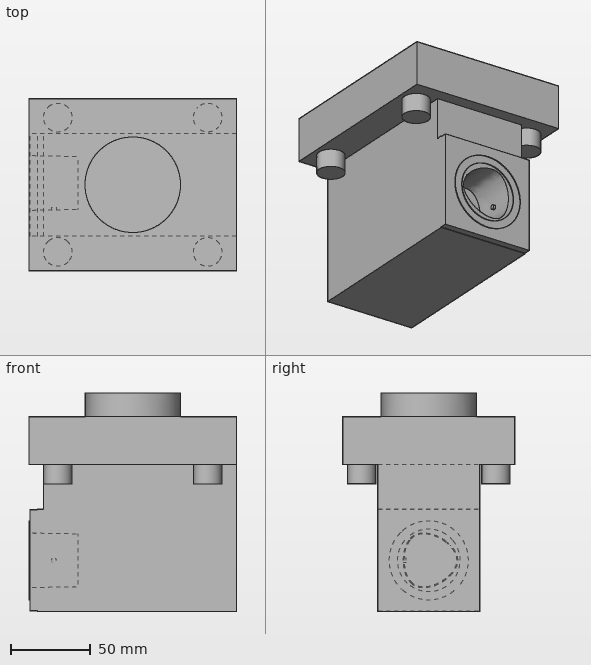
import cadquery as cq
import math

plate_length = 130.0
plate_width = 108.0
plate_height = 30.0
boss_diameter = 59.9
boss_height = 15.0
total_height = 137

body_width = 64.0
body_height = total_height - boss_height - plate_height
body_setback = 9.0
foot_diameter = 18.0
foot_height = 12.0
foot_inset_x = 18.1
foot_inset_y = 11.9

port_block_height = 64.3
nose_length = 4.7
nose_relief = 0.4
ring_outer_diameter = 49.6
ring_inner_diameter = 39.2
ring_height = 0.5

socket_mean_radius = 17.1
socket_lobe = 1.1
socket_depth = 30.1
socket_taper = 0.5
socket_points = 36

pin_diameter = 3.0
pin_tip_y = -14.2
pin_embedded_y = -17.8
pin_depth = socket_depth / 2

left = -plate_length / 2
right = plate_length / 2
face_x = left + ring_height
port_z = port_block_height / 2


def make_plate_and_boss():
    plate = cq.Workplane("XY").workplane(offset=body_height).rect(plate_length, plate_width)
    plate = plate.extrude(plate_height)
    return plate.faces(">Z").workplane().circle(boss_diameter / 2).extrude(boss_height)


def make_body():
    """Side profile of the stepped body, extruded across its width."""
    nose_x = face_x + nose_length
    nose_top = port_block_height - nose_relief
    profile = [
        (right, 0),
        (right, body_height),
        (left + body_setback, body_height),
        (left + body_setback, port_block_height),
        (nose_x, port_block_height),
        (nose_x, nose_top),
        (face_x, nose_top),
        (face_x, nose_relief),
        (nose_x, nose_relief),
        (nose_x, 0),
    ]
    return cq.Workplane("XZ").polyline(profile).close().extrude(body_width / 2, both=True)


def make_feet():
    spacing_x = plate_length - 2 * foot_inset_x
    spacing_y = plate_width - 2 * foot_inset_y
    feet = cq.Workplane("XY").workplane(offset=body_height - foot_height)
    return feet.rarray(spacing_x, spacing_y, 2, 2).circle(foot_diameter / 2).extrude(foot_height)


def make_port_ring():
    """Thin raised sealing ring around the port."""
    ring = cq.Workplane("YZ", origin=(left, 0, port_z))
    return ring.circle(ring_outer_diameter / 2).circle(ring_inner_diameter / 2).extrude(ring_height)


def lobed_outline(mean_radius):
    """Constant-width three-lobed curve with one lobe pointing to +Y."""
    points = []
    for i in range(socket_points):
        angle = 2 * math.pi * i / socket_points
        reach = mean_radius + socket_lobe * math.cos(3 * angle)
        slope = -3 * socket_lobe * math.sin(3 * angle)
        y = reach * math.cos(angle) - slope * math.sin(angle)
        z = reach * math.sin(angle) + slope * math.cos(angle)
        points.append((y, z))
    return points


def make_socket():
    mouth = cq.Workplane("YZ", origin=(face_x, 0, port_z))
    mouth = mouth.spline(lobed_outline(socket_mean_radius), periodic=True).close()
    floor = mouth.workplane(offset=socket_depth)
    floor = floor.spline(lobed_outline(socket_mean_radius - socket_taper), periodic=True).close()
    return floor.loft(combine=True)


def make_pin():
    pin = cq.Workplane("XZ", origin=(face_x + pin_depth, pin_tip_y, port_z))
    return pin.circle(pin_diameter / 2).extrude(pin_tip_y - pin_embedded_y)


result = (
    make_plate_and_boss()
    .union(make_body())
    .union(make_feet())
    .union(make_port_ring())
    .cut(make_socket())
    .union(make_pin())
)